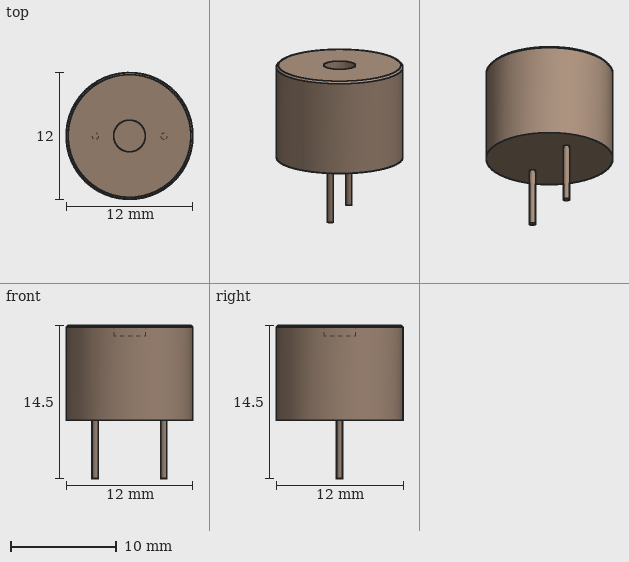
import cadquery as cq

total_height = 14.5
body_diameter = 12.0
body_height = 9.0
top_chamfer = 0.2
sound_hole_diameter = 3.0
sound_hole_depth = 1.0
pin_diameter = 0.6
pin_spacing = 6.5
pin_length = total_height - body_height


def make_body():
    """Round housing with a chamfered top rim."""
    body = cq.Workplane("XY").circle(body_diameter / 2).extrude(body_height)
    return body.faces(">Z").edges().chamfer(top_chamfer)


def cut_sound_hole(body):
    """Blind round hole in the middle of the top face."""
    return body.faces(">Z").workplane().hole(sound_hole_diameter, sound_hole_depth)


def make_pins():
    """Two straight pins hanging from the underside, spaced along X."""
    pin_centers = [(-pin_spacing / 2, 0), (pin_spacing / 2, 0)]
    return cq.Workplane("XY").pushPoints(pin_centers).circle(pin_diameter / 2).extrude(-pin_length)


result = cut_sound_hole(make_body()).union(make_pins())